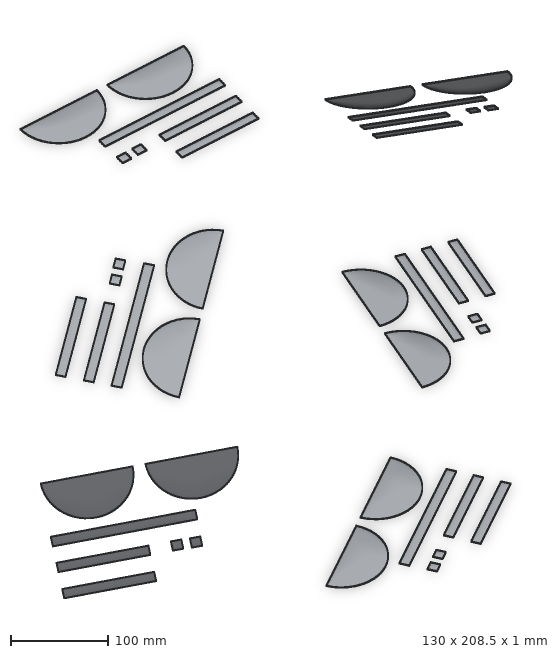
import cadquery as cq

layout_width = 130.0
layout_length = 208.5
thickness = 1.0

disc_radius = 48.4
disc_pitch = 110.0
disc_count = 2

strip_width = 10.5
short_strip_length = 2 * disc_radius
long_strip_width = 10.8
long_strip_length = 152.0
long_strip_left = 60.3
middle_strip_left = 89.9
outer_strip_left = layout_width - strip_width

tab_length = 11.0
upper_tab_left = middle_strip_left
upper_tab_bottom = 77.1
lower_tab_left = 90.5
lower_tab_bottom = 57.3


def make_half_disc(center_y):
    """Half disc bulging toward +X from its straight edge at X = 0."""
    return (
        cq.Workplane("XY")
        .moveTo(0, center_y - disc_radius)
        .threePointArc((disc_radius, center_y), (0, center_y + disc_radius))
        .close()
        .extrude(thickness)
    )


def make_plate(left, bottom, width, length):
    """Rectangular plate placed by its lower-left corner."""
    return cq.Workplane("XY").box(width, length, thickness, centered=False).translate((left, bottom, 0))


def make_short_strip(left):
    return make_plate(left, layout_length - short_strip_length, strip_width, short_strip_length)


def make_tab(left, bottom):
    return make_plate(left, bottom, strip_width, tab_length)


half_discs = [make_half_disc(disc_radius + index * disc_pitch) for index in range(disc_count)]
long_strip = make_plate(
    long_strip_left, layout_length - long_strip_length, long_strip_width, long_strip_length
)
short_strips = [make_short_strip(left) for left in (middle_strip_left, outer_strip_left)]
tab_corners = [(upper_tab_left, upper_tab_bottom), (lower_tab_left, lower_tab_bottom)]
tabs = [make_tab(left, bottom) for left, bottom in tab_corners]

bodies = [*half_discs, long_strip, *short_strips, *tabs]
result = cq.Compound.makeCompound([body.val() for body in bodies])